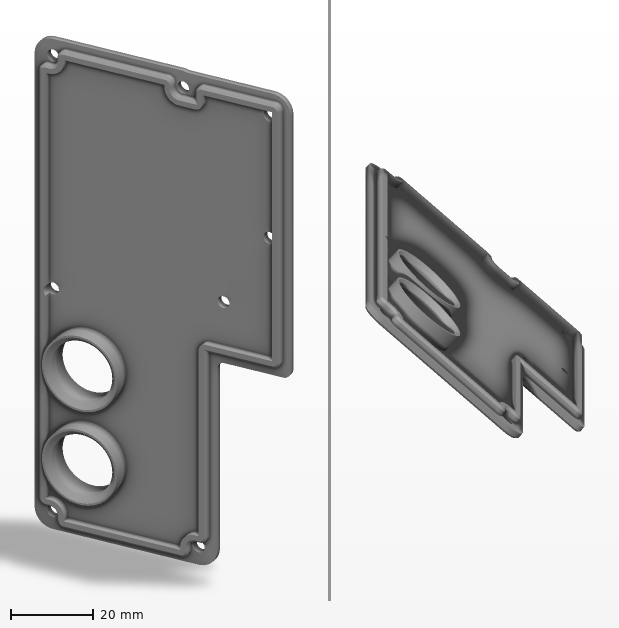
import cadquery as cq
import math

WIDTH = 70.0
HEIGHT = 135.0
LOWER_WIDTH = 50.0
STEP_HEIGHT = 57.2
CORNER_RADIUS = 5.0
STEP_RADIUS = 2.0
BACK_CHAMFER = 0.5
TOP_DROP = 0.3
RAMP_START = 40.6
RAMP_END = 41.8

PLATE_THICKNESS = 2.0
RIM_HEIGHT = 4.0
COLLAR_HEIGHT = 7.0

EDGE_MARGIN = 2.0
TOP_MARGIN = 1.9
STEP_MARGIN = 3.0
RIM_WIDTH = 2.0
RIM_CHAMFER = 0.61
RIM_CORNER_RADIUS = 1.9
SCREW_RELIEF_RADIUS = 2.0

HOLE_DIAMETER = 3.2
TOP_SCREW_X = 40.6
TOP_RELIEF_END = 45.0
SCREW_TOP = 130.4
SCREW_RIGHT = LOWER_WIDTH - CORNER_RADIUS
RIM_SCREWS = [
    (CORNER_RADIUS, SCREW_TOP),
    (TOP_SCREW_X, SCREW_TOP),
    (CORNER_RADIUS, CORNER_RADIUS),
    (SCREW_RIGHT, CORNER_RADIUS),
]
RIGHT_HOLE_X = 64.3
INNER_HOLES = [
    (CORNER_RADIUS, 66.3),
    (RIGHT_HOLE_X, 128.5),
    (RIGHT_HOLE_X, 94.8),
    (51.7, 74.0),
]

COLLAR_DIAMETER = 20.5
BORE_DIAMETER = 16.5
BORE_MOUTH_DIAMETER = 19.5
COLLAR_X = 14.8
COLLAR_HEIGHTS = [21.7, 47.5]


def toward(start, target, distance):
    """Point at the given distance from start on the way to target."""
    share = distance / math.dist(start, target)
    return tuple(a + (b - a) * share for a, b in zip(start, target))


def rounded_outline(corners):
    """Closed XZ outline of corners (x, z, radius); rounded corners are right-angled, radius 0 stays sharp."""
    points = [corner[:2] for corner in corners]
    sketch = cq.Workplane("XZ").moveTo(*toward(points[0], points[-1], corners[0][2]))
    for index, (x, z, radius) in enumerate(corners):
        corner = (x, z)
        before = points[index - 1]
        after = points[(index + 1) % len(points)]
        if index > 0:
            sketch = sketch.lineTo(*toward(corner, before, radius))
        if radius > 0:
            arc_start = toward(corner, before, radius)
            arc_end = toward(corner, after, radius)
            center = (arc_start[0] + arc_end[0] - x, arc_start[1] + arc_end[1] - z)
            sketch = sketch.threePointArc(toward(center, corner, radius), arc_end)
    return sketch.close()


def make_plate():
    corners = [
        (0, 0, CORNER_RADIUS),
        (LOWER_WIDTH, 0, CORNER_RADIUS),
        (LOWER_WIDTH, STEP_HEIGHT, STEP_RADIUS),
        (WIDTH, STEP_HEIGHT, STEP_RADIUS),
        (WIDTH, HEIGHT - TOP_DROP, CORNER_RADIUS),
        (RAMP_END, HEIGHT - TOP_DROP, 0),
        (RAMP_START, HEIGHT, 0),
        (0, HEIGHT, CORNER_RADIUS),
    ]
    plate = rounded_outline(corners).extrude(PLATE_THICKNESS)
    return plate.faces(">Y").chamfer(BACK_CHAMFER)


def rim_outline():
    """Outer edge of the rim, stepping inward around the screws on the plate border."""
    left = EDGE_MARGIN
    bottom = EDGE_MARGIN
    top = HEIGHT - TOP_MARGIN
    top_right = top - TOP_DROP
    right = WIDTH - EDGE_MARGIN
    lower_right = LOWER_WIDTH - EDGE_MARGIN
    step = STEP_HEIGHT + STEP_MARGIN
    relief = SCREW_RELIEF_RADIUS
    relief_left = CORNER_RADIUS + relief
    relief_right = SCREW_RIGHT - relief
    relief_low = CORNER_RADIUS + relief
    relief_high = SCREW_TOP - relief
    small = RIM_CORNER_RADIUS
    return rounded_outline([
        (left, relief_low, small),
        (relief_left, relief_low, relief),
        (relief_left, bottom, small),
        (relief_right, bottom, small),
        (relief_right, relief_low, relief),
        (lower_right, relief_low, small),
        (lower_right, step, 0),
        (right, step, small),
        (right, top_right, small),
        (TOP_RELIEF_END, top_right, small),
        (TOP_RELIEF_END, relief_high, 0),
        (TOP_SCREW_X - relief, relief_high, relief),
        (TOP_SCREW_X - relief, top, small),
        (relief_left, top, small),
        (relief_left, relief_high, relief),
        (left, relief_high, small),
    ])


def make_rim():
    block = rim_outline().extrude(RIM_HEIGHT).faces("<Y").chamfer(RIM_CHAMFER)
    opening = rim_outline().offset2D(-RIM_WIDTH).extrude(RIM_HEIGHT)
    return block.cut(opening)


def cylinders(centers, diameter, height):
    return cq.Workplane("XZ").pushPoints(centers).circle(diameter / 2).extrude(height)


def bore_mouths(centers):
    """45 degree cones that widen the bores at the front of the collars."""
    depth = (BORE_MOUTH_DIAMETER - BORE_DIAMETER) / 2
    front = cq.Workplane("XZ", origin=(0, -COLLAR_HEIGHT, 0)).pushPoints(centers)
    return front.circle(BORE_MOUTH_DIAMETER / 2).extrude(-depth, taper=45)


collar_centers = [(COLLAR_X, z) for z in COLLAR_HEIGHTS]

result = make_plate().union(make_rim())
result = result.union(cylinders(collar_centers, COLLAR_DIAMETER, COLLAR_HEIGHT))
result = result.cut(cylinders(collar_centers, BORE_DIAMETER, COLLAR_HEIGHT))
result = result.cut(bore_mouths(collar_centers))
result = result.cut(cylinders(RIM_SCREWS + INNER_HOLES, HOLE_DIAMETER, RIM_HEIGHT))